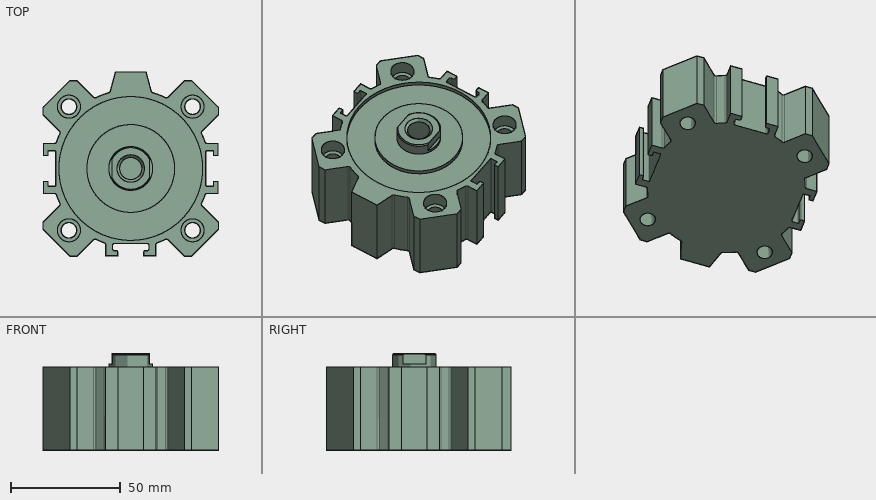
import cadquery as cq
import math

housing_height = 38.0
barrel_radius = 35.95
half_width = 40.0
lug_width = 22.0
lug_tip_distance = 47.9
notch_radius = 1.0
barrel_match = 1e-4

front_rail_angle = 0
side_rail_angles = (-90, 90)
rail_half_width = 11.4
rail_reach = 39.7
slot_floor = 34.2
slot_mouth_half_width = 5.9
side_slot_half_width = 8.1
side_lip_thickness = 2.1
side_slot_radius = 0.3
front_slot_half_width = 8.2
front_lip_thickness = 2.35
front_slot_radius = 0.75

fin_reach = 44.0
fin_tip_half_width = 7.0
fin_root_half_width = 10.25
fin_root_y = 31.9

hole_offset = 28.1
hole_diameter = 7.0
counterbore_diameter = 10.5
counterbore_depth = 7.0

recess_diameter = 65.5
recess_depth = 2.0
boss_diameter = 40.0

rod_diameter = 20.0
rod_top = 44.0
rod_bottom = 8.0
rod_chamfer = 0.5
flat_spacing = 17.05
flat_length = 4.6
bore_diameter = 10.1
bore_mouth_diameter = 12.5
bore_depth = 15.1


def turned(shape, angle):
    """The shape turned about the Z axis by an angle in degrees."""
    return shape.rotate((0, 0, 0), (0, 0, 1), angle)


def make_lugs():
    """Two crossed diagonal bars, trimmed square to form the flat lug tips."""
    bar = cq.Workplane("XY").rect(2 * lug_tip_distance, lug_width).extrude(housing_height)
    cross = turned(bar, 45).union(turned(bar, -45))
    trim = cq.Workplane("XY").rect(2 * half_width, 2 * half_width).extrude(housing_height)
    return cross.intersect(trim)


def make_rail():
    """A solid rail reaching from the centre toward -Y."""
    return (
        cq.Workplane("XY")
        .center(0, -rail_reach / 2)
        .rect(2 * rail_half_width, rail_reach)
        .extrude(housing_height)
    )


def make_fin():
    """A tapered fin on the +Y side."""
    return (
        cq.Workplane("XY")
        .polyline([
            (-fin_root_half_width, 0),
            (-fin_root_half_width, fin_root_y),
            (-fin_tip_half_width, fin_reach),
            (fin_tip_half_width, fin_reach),
            (fin_root_half_width, fin_root_y),
            (fin_root_half_width, 0),
        ])
        .close()
        .extrude(housing_height)
    )


def make_slot(half_slot, lip_thickness, corner_radius):
    """A T-slot cutter opening toward -Y, rounded at the slot and lip corners."""
    lip_y = -(rail_reach - lip_thickness)
    outside_y = -(rail_reach + lip_thickness)
    return (
        cq.Workplane("XY")
        .polyline([
            (-slot_mouth_half_width, outside_y),
            (-slot_mouth_half_width, lip_y),
            (-half_slot, lip_y),
            (-half_slot, -slot_floor),
            (half_slot, -slot_floor),
            (half_slot, lip_y),
            (slot_mouth_half_width, lip_y),
            (slot_mouth_half_width, outside_y),
        ])
        .close()
        .extrude(housing_height)
        .edges("|Z and (not <Y)")
        .fillet(corner_radius)
    )


def lies_on_barrel(edge):
    center = edge.Center()
    return math.isclose(math.hypot(center.x, center.y), barrel_radius, rel_tol=barrel_match)


def make_housing():
    body = cq.Workplane("XY").circle(barrel_radius).extrude(housing_height)
    body = body.union(make_lugs()).union(make_fin())
    for angle in (front_rail_angle, *side_rail_angles):
        body = body.union(turned(make_rail(), angle))

    body = body.edges("|Z").filter(lies_on_barrel).fillet(notch_radius)

    front_slot = make_slot(front_slot_half_width, front_lip_thickness, front_slot_radius)
    side_slot = make_slot(side_slot_half_width, side_lip_thickness, side_slot_radius)
    body = body.cut(front_slot)
    for angle in side_rail_angles:
        body = body.cut(turned(side_slot, angle))

    body = (
        body.faces(">Z")
        .workplane(origin=(0, 0, housing_height))
        .rect(2 * hole_offset, 2 * hole_offset, forConstruction=True)
        .vertices()
        .cboreHole(hole_diameter, counterbore_diameter, counterbore_depth)
    )
    return body.cut(make_recess()).cut(make_rod_socket())


def make_recess():
    """The ring-shaped recess, which leaves a boss flush with the top face around the rod."""
    return (
        cq.Workplane("XY", origin=(0, 0, housing_height))
        .circle(recess_diameter / 2)
        .circle(boss_diameter / 2)
        .extrude(-recess_depth)
    )


def make_rod_socket():
    """The blind hole that the rod fills."""
    return (
        cq.Workplane("XY", origin=(0, 0, rod_bottom))
        .circle(rod_diameter / 2)
        .extrude(housing_height - rod_bottom)
    )


def make_rod():
    rod = (
        cq.Workplane("XY", origin=(0, 0, rod_bottom))
        .circle(rod_diameter / 2)
        .extrude(rod_top - rod_bottom)
        .faces(">Z")
        .chamfer(rod_chamfer)
    )

    flat_zone = cq.Workplane("XY", origin=(0, 0, rod_top - flat_length))
    flats = (
        flat_zone.rect(2 * rod_diameter, 2 * rod_diameter)
        .rect(flat_spacing, 2 * rod_diameter)
        .extrude(flat_length)
    )
    rod = rod.cut(flats)

    bore_radius = bore_diameter / 2
    mouth_radius = bore_mouth_diameter / 2
    bore = (
        cq.Workplane("XZ")
        .polyline([
            (0, rod_top),
            (mouth_radius, rod_top),
            (bore_radius, rod_top - (mouth_radius - bore_radius)),
            (bore_radius, rod_top - bore_depth),
            (0, rod_top - bore_depth),
        ])
        .close()
        .revolve(360, (0, 0, 0), (0, 1, 0))
    )
    return rod.cut(bore)


housing = make_housing()
rod = make_rod()
result = cq.Compound.makeCompound([housing.val(), rod.val()])